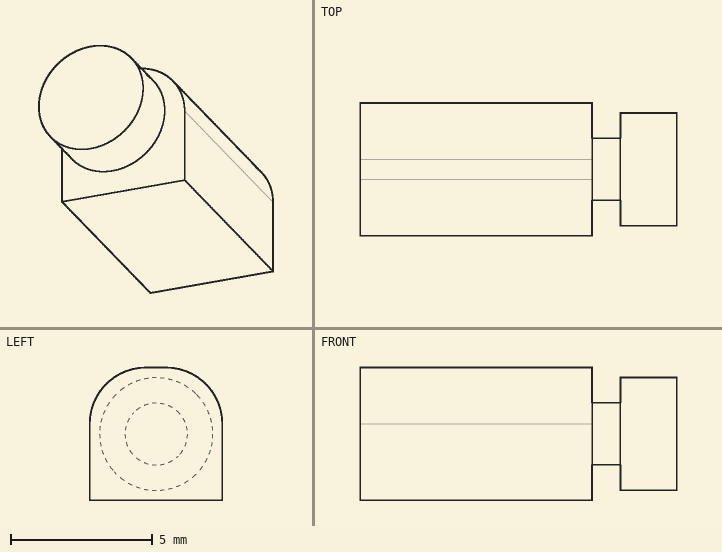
import cadquery as cq

body_length = 8.2
body_width = 4.7
body_round_radius = 2.0

neck_length = 1.0
neck_diameter = 2.2
head_length = 2.0
head_diameter = 4.0


def make_body():
    """Bar along +X from the origin, centred on the X axis."""
    bar = cq.Workplane("XY").box(body_length, body_width, body_width, centered=(False, True, True))
    return bar.faces(">Z").edges("|X").fillet(body_round_radius)


def make_cylinder(start_x, length, diameter):
    """Cylinder on the X axis, running in +X from start_x."""
    return cq.Workplane("YZ", origin=(start_x, 0, 0)).circle(diameter / 2).extrude(length)


neck = make_cylinder(body_length, neck_length, neck_diameter)
head = make_cylinder(body_length + neck_length, head_length, head_diameter)

result = make_body().union(neck).union(head)